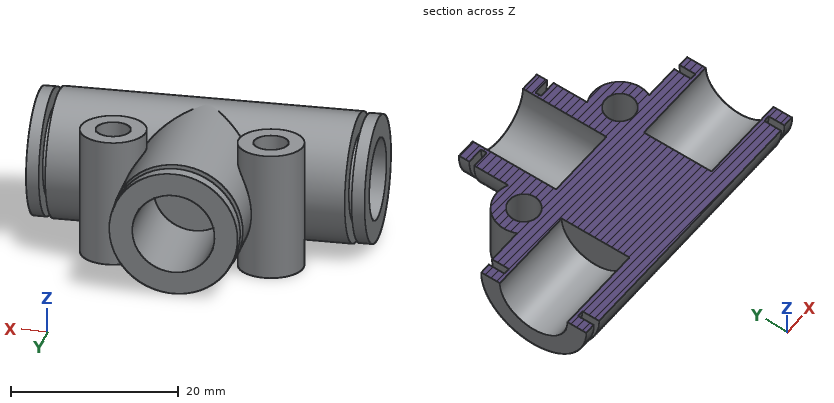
import cadquery as cq

PORT_REACH = 20.6
BODY_DIAMETER = 15.9

COLLAR_DIAMETER = 15.6
COLLAR_LENGTH = 1.55
NECK_DIAMETER = 10.95
NECK_LENGTH = 0.82

SOCKET_DIAMETER = 10.0
SOCKET_DEPTH = 12.35

LUG_DIAMETER = 8.0
LUG_HOLE_DIAMETER = 4.2
LUG_OFFSET = 9.6
LUG_HEIGHT = BODY_DIAMETER

BODY_REACH = PORT_REACH - COLLAR_LENGTH - NECK_LENGTH

PORT_DIRECTIONS = [(-1, 0, 0), (1, 0, 0), (0, 1, 0)]
LUG_CENTERS = [(-LUG_OFFSET, LUG_OFFSET), (LUG_OFFSET, LUG_OFFSET)]


def port_cylinder(direction, diameter, start, end):
    """Cylinder along a port axis between two distances from the centre."""
    axis = cq.Vector(*direction)
    solid = cq.Solid.makeCylinder(diameter / 2, end - start, axis * start, axis)
    return cq.Workplane(obj=solid)


def body():
    """Run along X with the branch mitred into it along +Y."""
    run = port_cylinder((1, 0, 0), BODY_DIAMETER, -BODY_REACH, BODY_REACH)
    branch = port_cylinder((0, 1, 0), BODY_DIAMETER, 0, BODY_REACH)
    return run.union(branch)


def collar(direction):
    """Narrow neck followed by the collar disc."""
    collar_start = PORT_REACH - COLLAR_LENGTH
    neck = port_cylinder(direction, NECK_DIAMETER, BODY_REACH, collar_start)
    disc = port_cylinder(direction, COLLAR_DIAMETER, collar_start, PORT_REACH)
    return neck.union(disc)


def socket(direction):
    """Volume removed for the inserted tube."""
    return port_cylinder(direction, SOCKET_DIAMETER, PORT_REACH - SOCKET_DEPTH, PORT_REACH)


def lug_cylinders(diameter):
    """Vertical cylinders at both lug positions."""
    base = cq.Workplane("XY", origin=(0, 0, -LUG_HEIGHT / 2))
    return base.pushPoints(LUG_CENTERS).circle(diameter / 2).extrude(LUG_HEIGHT)


result = body().union(lug_cylinders(LUG_DIAMETER))
for port_direction in PORT_DIRECTIONS:
    result = result.union(collar(port_direction)).cut(socket(port_direction))
result = result.cut(lug_cylinders(LUG_HOLE_DIAMETER))